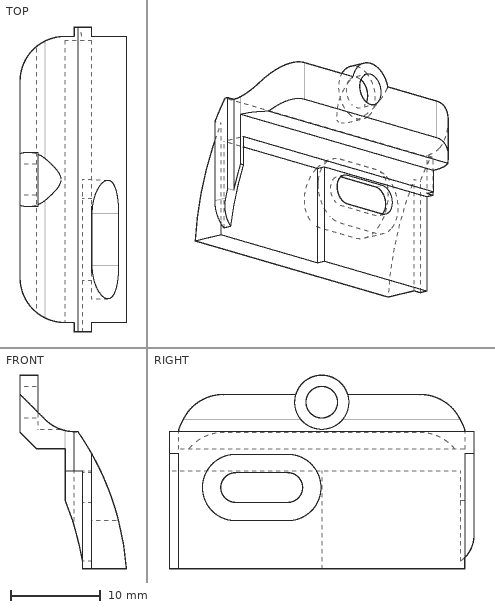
import cadquery as cq

length = 34.05
width = 11.92
height = 21.65

flange_reach = 1.02
body_length = length - 2 * flange_reach
half_body = body_length / 2
half_length = length / 2

wall_x = 5.05
flange_step = 1.02
flange_x = wall_x + flange_step
plate_x = 6.98
plate_thickness = 1.02
plate_front_x = plate_x + plate_thickness

lip_top_z = 19.5
lip_lower_z = 15.25
lip_under_z = 13.4
lip_bevel = lip_lower_z - lip_under_z
lip_corner_radius = wall_x
ridge_z = 15.35
ridge_x = 6.47
valley_drop = 1.35
valley_start_z = ridge_z + valley_drop
valley_start_x = lip_top_z - valley_start_z

bow_mid_x = 10.7
bow_mid_z = 6.6

recess_top_z = 10.93
end_wall_thickness = 0.48
end_wall_y = half_body - end_wall_thickness
end_wall_curve_top_z = 7.65
end_wall_curve_mid_z = 4.8
end_wall_curve_end_z = 0.85
flange_corner_radius = 3.47
flange_corner_z = 3.75

lug_radius = 3.03
lug_thickness = 2.05
lug_hole_diameter = 3.5
lug_z = height - lug_radius

slot_y = -6.7
slot_z = 9.1
slot_straight = 5.82
slot_width = 3.3
slot_counterbore_width = 7.42


def box(x_min, x_max, y_min, y_max, z_min, z_max):
    size = (x_max - x_min, y_max - y_min, z_max - z_min)
    return cq.Workplane("XY").box(*size, centered=False).translate((x_min, y_min, z_min))


def cross_section():
    """Section of the whole part, constant along Y."""
    return (
        cq.Workplane("XZ")
        .moveTo(0, lip_lower_z)
        .lineTo(0, lip_top_z)
        .lineTo(valley_start_x, valley_start_z)
        .tangentArcPoint((ridge_x, ridge_z), relative=False)
        .threePointArc((bow_mid_x, bow_mid_z), (width, 0))
        .lineTo(wall_x, 0)
        .lineTo(wall_x, lip_under_z)
        .lineTo(lip_bevel, lip_under_z)
        .close()
        .extrude(half_length, both=True)
    )


def plan_outline():
    """Plan with rounded lip corners and a guide flange at each end."""
    body = box(0, width, -half_body, half_body, 0, height)
    body = body.edges("|Z and <X").fillet(lip_corner_radius)
    flanges = box(flange_x, plate_front_x, -half_length, half_length, 0, height)
    return body.union(flanges)


def back_recesses():
    """Shallow recess behind the plate on the -Y half, deeper one on the +Y half."""
    shallow = box(0, plate_x, -half_length, 0, 0, recess_top_z)
    deep = box(0, plate_front_x, 0, end_wall_y, 0, recess_top_z)
    return shallow.union(deep)


def end_wall_curve():
    """Material removed below the curved lower edge of the +Y end wall."""
    return (
        cq.Workplane("XZ", origin=(0, end_wall_y, 0))
        .moveTo(wall_x, 0)
        .lineTo(wall_x, end_wall_curve_top_z)
        .threePointArc((flange_x, end_wall_curve_mid_z), (plate_x, end_wall_curve_end_z))
        .lineTo(plate_x, 0)
        .close()
        .extrude(end_wall_y - half_length)
    )


def end_wall_corner():
    """Material removed outside the rounded lower corner of the +Y end wall."""
    centre_y = half_length - flange_corner_radius
    corner = box(0, plate_front_x, end_wall_y, half_length, 0, flange_corner_z)
    round_end = (
        cq.Workplane("YZ")
        .center(centre_y, flange_corner_z)
        .circle(flange_corner_radius)
        .extrude(plate_front_x)
    )
    return corner.cut(round_end)


def lug_cylinder(radius, x_min, x_max):
    profile = cq.Workplane("YZ", origin=(x_min, 0, lug_z)).circle(radius)
    return profile.extrude(x_max - x_min)


def slot(slot_size, x_min):
    profile = cq.Workplane("YZ", origin=(x_min, slot_y, slot_z))
    return profile.slot2D(slot_straight + slot_size, slot_size).extrude(width - x_min)


result = cross_section().intersect(plan_outline())
result = result.cut(back_recesses()).cut(end_wall_curve()).cut(end_wall_corner())

result = result.cut(lug_cylinder(lug_radius, lug_thickness, width))
result = result.union(lug_cylinder(lug_radius, 0, lug_thickness))
result = result.cut(lug_cylinder(lug_hole_diameter / 2, 0, width))

result = result.cut(slot(slot_width, 0))
result = result.cut(slot(slot_counterbore_width, plate_front_x))